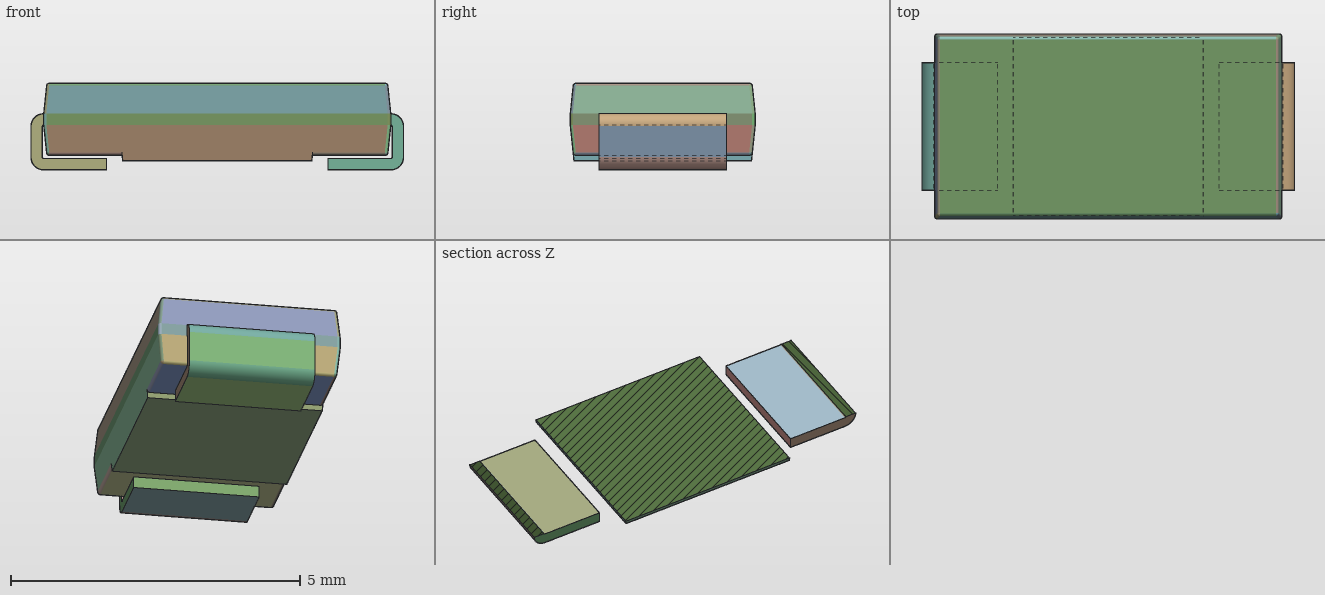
import cadquery as cq

overall_length = 6.44
overall_height = 1.5

lead_thickness = 0.2
lead_width = 2.21
bend_inner_radius = 0.02
bend_outer_radius = lead_thickness + bend_inner_radius
foot_reach = 1.31
lead_top = 0.97

housing_length = overall_length - 2 * bend_outer_radius
housing_width = 3.2
housing_bottom = 0.25
band_top = lead_top
band_bottom = band_top - lead_thickness
draft_angle = 6.0
edge_radius = 0.05

standoff_length = 3.4
standoff_bottom = 0.155


def tapered_block(length, width, start_z, end_z):
    """Rectangular block that narrows from start_z to end_z by the draft angle."""
    return (
        cq.Workplane("XY")
        .workplane(offset=start_z)
        .rect(length, width)
        .extrude(end_z - start_z, taper=draft_angle)
    )


def make_housing():
    """Moulded housing with rounded edges and its central standoff."""
    band = (
        cq.Workplane("XY")
        .workplane(offset=band_bottom)
        .rect(housing_length, housing_width)
        .extrude(band_top - band_bottom)
    )
    upper_half = tapered_block(housing_length, housing_width, band_top, overall_height)
    lower_half = tapered_block(housing_length, housing_width, band_bottom, housing_bottom)
    shell = upper_half.union(band).union(lower_half)

    band_rims = "(#Z and (not >Z) and (not <Z))"
    shell = shell.edges(f"not {band_rims}").fillet(edge_radius)

    standoff = tapered_block(standoff_length, housing_width, band_bottom, standoff_bottom)
    return shell.union(standoff)


def make_lead(side):
    """C-shaped lead; side is -1 for the -X end and +1 for the +X end."""
    outer_x = overall_length / 2
    wall_x = outer_x - lead_thickness
    bend_x = outer_x - bend_outer_radius
    foot_x = outer_x - foot_reach
    lower_bend_z = bend_outer_radius
    upper_bend_z = lead_top - bend_outer_radius

    profile = (
        cq.Workplane("XZ")
        .moveTo(side * foot_x, 0)
        .lineTo(side * bend_x, 0)
        .radiusArc((side * outer_x, lower_bend_z), -side * bend_outer_radius)
        .lineTo(side * outer_x, upper_bend_z)
        .radiusArc((side * bend_x, lead_top), -side * bend_outer_radius)
        .lineTo(side * bend_x, lead_top - lead_thickness)
        .radiusArc((side * wall_x, upper_bend_z), side * bend_inner_radius)
        .lineTo(side * wall_x, lower_bend_z)
        .radiusArc((side * bend_x, lead_thickness), side * bend_inner_radius)
        .lineTo(side * foot_x, lead_thickness)
        .close()
    )
    return profile.extrude(lead_width / 2, both=True)


housing = make_housing()
leads = [make_lead(side) for side in (-1, 1)]

result = cq.Compound.makeCompound([housing.solids().val(), *(lead.solids().val() for lead in leads)])